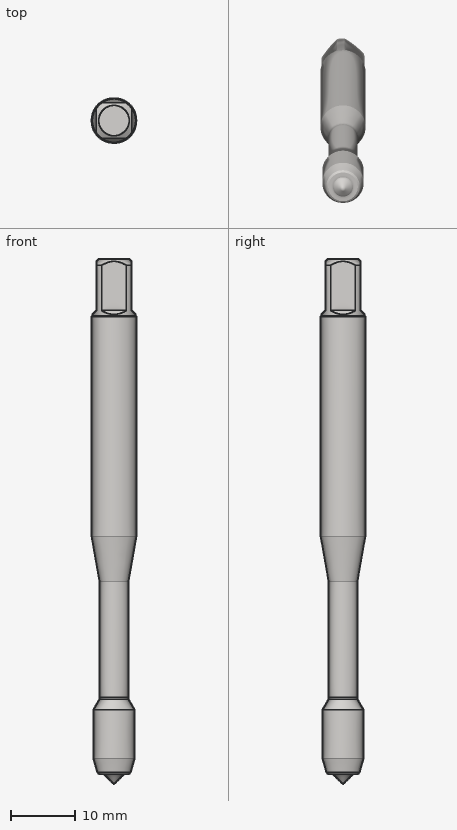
import cadquery as cq
import math


length = 80.0
neck_dia = 4.55

head_dia = 6.44
head_length = 12.0
head_shoulder_height = 10.0
shoulder_angle = 30.0
lead_length = 2.5
lead_front_dia = 5.2
nose_chamfer = 0.3
point_length = 1.55
point_base_dia = 2 * point_length

shank_dia = 7.0
neck_taper_height = 30.0
neck_taper_angle = 10.0

square_length = 8.95
square_corner_dia = 6.72
square_flats = 5.5
flat_length = 8.0
runout_angle = 45.0
top_chamfer = 1.0
flat_count = 4


def cone_length(large_dia, small_dia, half_angle):
    """Axial length of a cone between two diameters."""
    return (large_dia - small_dia) / 2 / math.tan(math.radians(half_angle))


def revolve_profile(points):
    """Revolve a closed (radius, height) outline around the Z axis."""
    return cq.Workplane("XZ").polyline(points).close().revolve(360, (0, 0, 0), (0, 1, 0))


def make_head():
    """Forming head: point, tapered lead, full diameter, shoulder and neck stub."""
    shoulder_top = head_shoulder_height + cone_length(head_dia, neck_dia, shoulder_angle)
    return revolve_profile([
        (0, -point_length),
        (point_base_dia / 2, 0),
        (lead_front_dia / 2 - nose_chamfer, 0),
        (lead_front_dia / 2, nose_chamfer),
        (head_dia / 2, lead_length),
        (head_dia / 2, head_shoulder_height),
        (neck_dia / 2, shoulder_top),
        (neck_dia / 2, head_length),
        (0, head_length),
    ])


def make_flat_cutter():
    """Prism that cuts the flat facing -Y, with a sloped lower end."""
    flat_bottom = length - flat_length
    cut_depth = shank_dia - square_flats / 2
    runout_drop = cut_depth * math.tan(math.radians(runout_angle))
    return (
        cq.Workplane("YZ")
        .polyline([
            (-square_flats / 2, length),
            (-square_flats / 2, flat_bottom),
            (-shank_dia, flat_bottom - runout_drop),
            (-shank_dia, length),
        ])
        .close()
        .extrude(shank_dia, both=True)
    )


def make_shank():
    """Shank: neck, taper, full diameter and driving square."""
    taper_top = neck_taper_height + cone_length(shank_dia, neck_dia, neck_taper_angle)
    square_bottom = length - square_length
    edge_chamfer = (shank_dia - square_corner_dia) / 2
    shank = revolve_profile([
        (0, head_length),
        (neck_dia / 2, head_length),
        (neck_dia / 2, neck_taper_height),
        (shank_dia / 2, taper_top),
        (shank_dia / 2, square_bottom),
        (square_corner_dia / 2, square_bottom + edge_chamfer),
        (square_corner_dia / 2, length - top_chamfer),
        (square_corner_dia / 2 - top_chamfer, length),
        (0, length),
    ])
    cutter = make_flat_cutter()
    for index in range(flat_count):
        turn = index * 360 / flat_count
        shank = shank.cut(cutter.rotate((0, 0, 0), (0, 0, 1), turn))
    return shank


head = make_head()
shank = make_shank()

result = cq.Compound.makeCompound([head.val(), shank.val()])